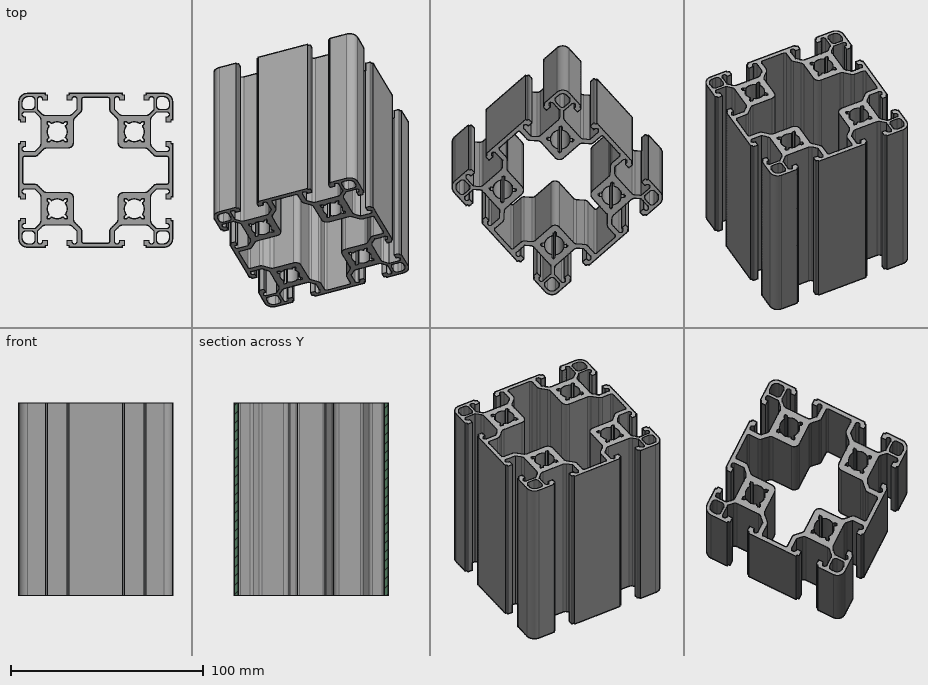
import cadquery as cq

side = 80.0
length = 100.0
outer_radius = 4.5
half = side / 2

cell_centre = half / 2

mouth_half = 5.0
step_half = 6.2
step_radius = 0.4
mouth_radius = 0.4
step_depth = 0.9
lip_depth = 3.6
lip_back_half = 7.7
undercut_depth = 1.8
undercut_radius = 1.2
slot_half = 10.2
core_half = 8.5
slot_depth = cell_centre - core_half
slot_chamfer = 3.0
slot_floor_radius = 2.5

chamber_start = 1.8
chamber_end = 8.4
chamber_radius = 1.8
chamber_outer_radius = 3.0

bore_radius = 5.1
relief_width = 1.7

skin = 2.2
void_arm_half = 7.2
void_arm_radius = 1.0
void_bend_radius = 2.5
core_radius = 3.0
bend_depth = 9.2
core_inner = cell_centre - core_half


def prism(points):
    """Full-length prism on a closed outline."""
    return cq.Workplane("XY").polyline(points).close().extrude(length)


def round_edges(body, places, radius):
    """Round the upright edges that pass through the given XY places."""
    for x, y in places:
        edge = cq.selectors.NearestToPointSelector((x, y, length / 2))
        body = body.edges("|Z").edges(edge).fillet(radius)
    return body


def about_axis(body, angle):
    """Body turned about the Z axis."""
    return body.rotate((0, 0, 0), (0, 0, 1), angle)


def turned(points, quarters):
    """Points turned clockwise about the part axis by a number of quarter turns."""
    for _ in range(quarters):
        points = [(y, -x) for x, y in points]
    return points


def t_slot():
    """T-slot cutter opening through the +Y face, centred on X = 0."""
    floor_half = slot_half - slot_chamfer
    right = [
        (step_half, half),
        (step_half, half - step_depth),
        (mouth_half, half - step_depth),
        (mouth_half, half - lip_depth),
        (lip_back_half, half - lip_depth),
        (lip_back_half, half - undercut_depth),
        (slot_half, half - undercut_depth),
        (slot_half, half - slot_depth + slot_chamfer),
        (floor_half, half - slot_depth),
    ]
    left = [(-x, y) for x, y in reversed(right)]
    slot = prism(right + left)
    undercut_corners = []
    floor_corners = []
    mouth_corners = []
    step_corners = []
    for sign in (-1, 1):
        mouth_corners.append((sign * mouth_half, half - step_depth))
        step_corners.append((sign * step_half, half - step_depth))
        undercut_corners.append((sign * lip_back_half, half - undercut_depth))
        undercut_corners.append((sign * slot_half, half - undercut_depth))
        floor_corners.append((sign * floor_half, half - slot_depth))
    slot = round_edges(slot, undercut_corners, undercut_radius)
    slot = round_edges(slot, mouth_corners, mouth_radius)
    slot = round_edges(slot, step_corners, step_radius)
    return round_edges(slot, floor_corners, slot_floor_radius)


def corner_chamber():
    """Rounded square cutter in the +X +Y corner."""
    near = half - chamber_end
    far = half - chamber_start
    chamber = prism([(near, near), (far, near), (far, far), (near, far)])
    chamber = round_edges(chamber, [(far, far)], chamber_outer_radius)
    return round_edges(chamber, [(near, near), (far, near), (near, far)], chamber_radius)


def bore():
    """Round bore with diagonal reliefs that end in square corners."""
    diameter = 2 * bore_radius
    square = cq.Workplane("XY").rect(diameter, diameter).extrude(length)
    relief = cq.Workplane("XY").rect(2 * diameter, relief_width).extrude(length)
    cross = about_axis(relief, 45).union(about_axis(relief, 135))
    return cq.Workplane("XY").circle(bore_radius).extrude(length).union(cross.intersect(square))


def central_void():
    """Cross with arms that narrow at 45 degrees towards the outer skin."""
    arm_end = half - skin
    bend = half - bend_depth
    neck = bend - (core_inner - void_arm_half)
    ends = [(void_arm_half, arm_end), (arm_end, void_arm_half)]
    bends = [(void_arm_half, bend), (bend, void_arm_half)]
    necks = [(core_inner, neck), (neck, core_inner)]
    inner = (core_inner, core_inner)
    quadrant = [ends[0], bends[0], necks[0], inner, necks[1], bends[1], ends[1]]

    outline = []
    for quarter in range(4):
        outline += turned(quadrant, quarter)
    void = prism(outline)
    for quarter in range(4):
        void = round_edges(void, turned(ends, quarter), void_arm_radius)
        void = round_edges(void, turned(bends + necks, quarter), void_bend_radius)
        void = round_edges(void, turned([inner], quarter), core_radius)
    return void


result = cq.Workplane("XY").rect(side, side).extrude(length).edges("|Z").fillet(outer_radius)
result = result.cut(central_void())

slot = t_slot()
chamber = corner_chamber()
for quarter in range(4):
    turn = 90 * quarter
    for sign in (-1, 1):
        placed = slot.translate((sign * cell_centre, 0, 0))
        result = result.cut(about_axis(placed, turn))
    result = result.cut(about_axis(chamber, turn))

bore_cutter = bore()
for x in (-cell_centre, cell_centre):
    for y in (-cell_centre, cell_centre):
        result = result.cut(bore_cutter.translate((x, y, 0)))